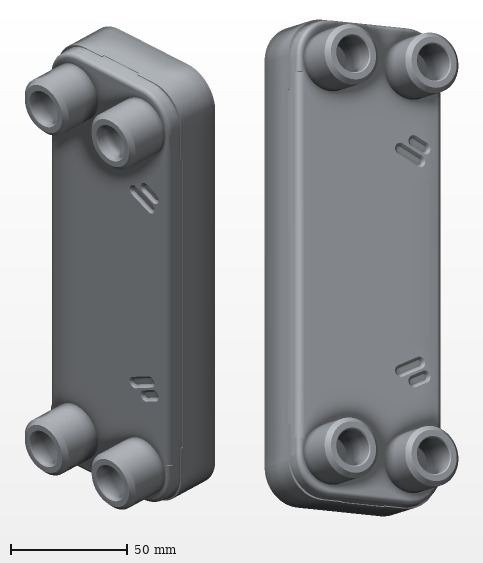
import cadquery as cq


width = 73.72
height = 210.0
overall_depth = 47.4
port_length = 20.0

pack_depth = 19.3
pack_corner_radius = 16.2
plate_thickness = 0.5
plate_front = pack_depth + plate_thickness

lip_height = 1.2
lip_reach_x = 26.3
lip_reach_z = 32.0

cover_front = overall_depth - port_length
cover_depth = cover_front - plate_front
cover_inset = 0.3
cover_draft = 6.0
cover_corner_radius = 17.4
cover_end_fillet = 2.0
cover_side_fillet = 3.2
side_fillet_length = 160.0

port_spacing_x = 40.0
port_spacing_z = 172.0
port_diameter = 26.4
port_chamfer = 2.0
bore_diameter = 16.0
bore_chamfer = 0.5

mark_depth = 1.3
mark_wall_angle = 45.0
mark_slope = 25.0
mark_groove_width = 5.3
mark_mirror_z = 2.2
mark_spacing_z = 92.6
long_groove_length = 15.9
long_groove_x = 19.6
short_groove_length = 11.4
short_groove_shift = (4.6, 4.9)


def plane_at(depth):
    """Workplane facing -Y at the given distance in front of the pack's back."""
    return cq.Workplane("XZ", origin=(0, -depth, 0))


def rounded_block(block_width, block_height, radius, start, depth):
    """Block with rounded corners, reaching toward -Y from the given start."""
    return plane_at(start).rect(block_width, block_height).extrude(depth).edges("|Y").fillet(radius)


def make_cover_blank(front_fillet):
    """Drafted cover with one fillet radius all round its front face."""
    blank_width = width - 2 * cover_inset
    blank_height = height - 2 * cover_inset
    outline = cq.Sketch().rect(blank_width, blank_height).vertices().fillet(cover_corner_radius)
    blank = plane_at(plate_front).placeSketch(outline).extrude(cover_depth, taper=cover_draft)
    return blank.faces("<Y").edges().fillet(front_fillet)


def make_mark_groove(center_x, center_z, groove_length, slant):
    """Cutter for one round-ended groove; slant is +1 rising or -1 falling in X."""
    face = cq.Workplane("XZ", origin=(center_x, -cover_front, center_z))
    outline = face.slot2D(groove_length, mark_groove_width, slant * mark_slope)
    return outline.extrude(-mark_depth, taper=mark_wall_angle)


def make_cover():
    """Cover whose long sides carry a larger fillet than its ends and corners."""
    middle = cq.Workplane("XY").box(2 * width, 2 * overall_depth, side_fillet_length)
    ends = make_cover_blank(cover_end_fillet).cut(middle)
    cover = ends.union(make_cover_blank(cover_side_fillet).intersect(middle))
    shift_x, shift_z = short_groove_shift
    for side in (1, -1):
        long_z = mark_mirror_z + side * mark_spacing_z / 2
        short_z = long_z + side * shift_z
        cover = cover.cut(make_mark_groove(long_groove_x, long_z, long_groove_length, -side))
        cover = cover.cut(make_mark_groove(long_groove_x + shift_x, short_z, short_groove_length, -side))
    return cover


def make_sealing_plate(cover):
    """Thin plate with a lip in each corner, filling the space between its outline and the cover."""
    plate = rounded_block(width, height, pack_corner_radius, pack_depth, plate_thickness)
    rim = rounded_block(width, height, pack_corner_radius, plate_front, lip_height)
    gap_x = width - 2 * lip_reach_x
    gap_z = height - 2 * lip_reach_z
    rim = rim.cut(cq.Workplane("XY").box(gap_x, 2 * overall_depth, 2 * height))
    rim = rim.cut(cq.Workplane("XY").box(2 * width, 2 * overall_depth, gap_z))
    return plate.union(rim.cut(cover))


def make_port(center_x, center_z):
    """Round connection with a chamfered end and a bore down to the cover's face."""
    port = plane_at(cover_front).center(center_x, center_z).circle(port_diameter / 2).extrude(port_length)
    port = port.faces("<Y").chamfer(port_chamfer)
    port = port.faces("<Y").workplane(origin=(center_x, 0, center_z)).circle(bore_diameter / 2).cutThruAll()
    return port.faces("<Y").edges("%CIRCLE").edges(cq.selectors.RadiusNthSelector(0)).chamfer(bore_chamfer)


plate_pack = rounded_block(width, height, pack_corner_radius, 0, pack_depth)
cover = make_cover()
sealing_plate = make_sealing_plate(cover)
ports = []
for side_x in (-1, 1):
    for side_z in (-1, 1):
        ports.append(make_port(side_x * port_spacing_x / 2, side_z * port_spacing_z / 2))

bodies = [plate_pack, sealing_plate, cover, *ports]
result = cq.Compound.makeCompound([body.solids().val() for body in bodies])